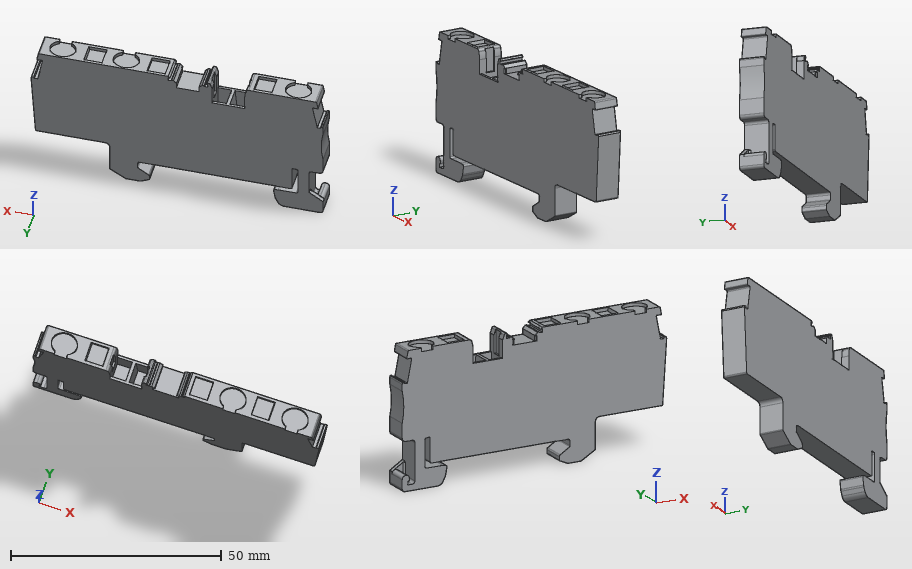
import cadquery as cq
import math


length = 71.8
thickness = 6.2
height = 35.3
front_y = -thickness / 2
back_y = thickness / 2

block_bottom = 6.07
left_shelf_z = 12.6
right_shelf_z = 10.4
shoulder_z = 27.5
shoulder_drop = 0.4
ledge_z = 27.15
lip_bottom_z = 33.25

notch_left = 19.25
notch_right = 27.25
notch_floor = 29.25
notch_bevel_z = 33.8

channel_left = 30.5
channel_right = 36.05
channel_floor = 32.1
channel_lip_z = 33.5
catch_z = 34.05
ridge_z = 34.25
barb_z = 34.85

latch_wall = 3.43
latch_lip_width = 1.95
latch_lip_z = 4.1
slot_left = 6.2
slot_right = 7.6
latch_top = 5.0

dent_top = 25.35
dent_bottom = 17.3
dent_depth = 0.42

web_thickness = 1.15
web_base_z = 1.0
web_low_z = 3.7
web_high_z = 5.9
web_chamfer = 0.45

pocket_depth = 0.85
oval_centers = (6.8, 49.15, 64.75)
oval_half_length = 3.15
oval_half_width = 2.7
oval_opening = 3.05
window_length = 4.45
window_width = 4.7
window_y = 0.05
window_draft = 0.25
plain_window_x = 41.2
left_window_x = 14.95
right_window_x = 56.75

well_width = 4.9
well_depth = 6.0
well_rib_left = 23.05
well_rib_right = 23.9
well_draft = 0.55
groove_width = 2.4
groove_depth = 0.55

recess_length = 0.5
recess_depth = 0.4
recess_top = 33.4

outline = [
    (1.6, height, 0.3),
    (1.2, lip_bottom_z, 0.15),
    (2.6, lip_bottom_z, 0.2),
    (1.4, ledge_z, 0),
    (0.7, ledge_z, 0),
    (0.45, shoulder_z, 0),
    (0.1, shoulder_z, 0),
    (0, shoulder_z - shoulder_drop, 0),
    (0, left_shelf_z, 0.9),
    (latch_wall, left_shelf_z, 0.7),
    (latch_wall, 1.6, 0.7),
    (1.5, 1.6, 0),
    (1.5, 2.4, 0.1),
    (latch_lip_width, 2.6, 0.15),
    (latch_lip_width, latch_lip_z, 0.95),
    (0, latch_lip_z, 0.95),
    (0, 0, 0.8),
    (10.6, 0, 1.8),
    (11.75, 2.2, 1.5),
    (12.25, 4.8, 0.4),
    (11.0, latch_top, 0),
    (slot_left, latch_top, 0.4),
    (slot_left, left_shelf_z, 0.4),
    (slot_right, left_shelf_z, 0.2),
    (slot_right, block_bottom, 0.4),
    (45.55, block_bottom, 0.6),
    (45.55, 4.2, 0.2),
    (42.65, 2.35, 0.5),
    (42.65, 1.05, 0.2),
    (44.9, 0, 0.3),
    (48.5, 0, 0.4),
    (52.45, 2.3, 0.3),
    (52.45, right_shelf_z, 1.1),
    (70.7, right_shelf_z, 0.4),
    (length, shoulder_z - shoulder_drop, 0),
    (71.65, shoulder_z, 0),
    (71.15, shoulder_z, 0),
    (70.95, ledge_z, 0),
    (70.15, ledge_z, 0),
    (68.95, lip_bottom_z, 0.2),
    (70.4, lip_bottom_z, 0.15),
    (70.0, height, 0.3),
    (38.05, height, 0),
    (37.6, barb_z, 0),
    (38.05, barb_z, 0),
    (38.05, catch_z, 0),
    (37.35, catch_z, 0),
    (37.15, ridge_z, 0),
    (36.75, ridge_z, 0),
    (channel_right, channel_lip_z, 0),
    (channel_right, channel_floor, 0),
    (channel_left, channel_floor, 0),
    (channel_left, channel_lip_z, 0),
    (29.75, ridge_z, 0),
    (29.3, ridge_z, 0),
    (29.1, catch_z, 0),
    (28.35, catch_z, 0),
    (28.35, barb_z, 0),
    (28.75, barb_z, 0),
    (28.45, height, 0),
    (27.8, height, 0.4),
    (notch_right, notch_bevel_z, 0),
    (notch_right, notch_floor, 0),
    (notch_left, notch_floor, 0),
    (notch_left, notch_bevel_z, 6.0),
    (18.75, height, 0.7),
]


def rounded_outline(corners):
    """Closed XZ wire through the corners, each rounded by a tangent arc of its radius."""
    wire = None
    count = len(corners)
    for i, (x, z, radius) in enumerate(corners):
        corner = cq.Vector(x, z)
        to_last = (cq.Vector(*corners[i - 1][:2]) - corner).normalized()
        to_next = (cq.Vector(*corners[(i + 1) % count][:2]) - corner).normalized()
        half_angle = to_last.getAngle(to_next) / 2
        setback = radius / math.tan(half_angle)
        start = corner + to_last * setback
        if wire is None:
            wire = cq.Workplane("XZ").moveTo(start.x, start.y)
        else:
            wire = wire.lineTo(start.x, start.y)
        if radius > 0:
            bisector = (to_last + to_next).normalized()
            middle = corner + bisector * (radius / math.sin(half_angle) - radius)
            end = corner + to_next * setback
            wire = wire.threePointArc((middle.x, middle.y), (end.x, end.y))
    return wire.close()


def prism_xz(points, y_low, y_high):
    """Polygon in XZ filled between two Y positions."""
    plane = cq.Workplane("XZ", origin=(0, y_high, 0))
    return plane.polyline(points).close().extrude(y_high - y_low)


def block(x_low, x_high, y_low, y_high, z_low, z_high):
    """Axis-aligned box given by its limits."""
    size = (x_high - x_low, y_high - y_low, z_high - z_low)
    return cq.Workplane("XY").box(*size, centered=False).translate((x_low, y_low, z_low))


def finger_dent():
    """Large cylinder whose edge scoops the left end face."""
    half_chord = (dent_top - dent_bottom) / 2
    radius = (half_chord**2 + dent_depth**2) / (2 * dent_depth)
    center = (dent_depth - radius, (dent_top + dent_bottom) / 2)
    return cq.Workplane("XZ").center(*center).circle(radius).extrude(thickness, both=True)


def latch_web():
    """Wall behind the latch pocket, with a chamfered corner against the latch wall."""
    inner_y = back_y - web_thickness
    slope = (web_high_z - web_low_z) / latch_wall
    chamfer_x = latch_wall - web_chamfer
    side = [(0, web_base_z), (0, web_low_z), (latch_wall, web_high_z), (latch_wall, web_base_z)]
    wall = prism_xz(side, inner_y, back_y)
    corner = (
        cq.Workplane("XY", origin=(0, 0, web_base_z))
        .polyline([(chamfer_x, inner_y), (latch_wall, inner_y), (latch_wall, inner_y - web_chamfer)])
        .close()
        .extrude(web_low_z + slope * chamfer_x - web_base_z)
    )
    return wall.union(corner)


def oval_pocket(x):
    """Elliptical pocket in the top face, opened through the front face."""
    floor = cq.Workplane("XY", origin=(x, 0, height - pocket_depth))
    oval = floor.ellipse(oval_half_length, oval_half_width).extrude(pocket_depth)
    half_opening = oval_opening / 2
    opening = block(x - half_opening, x + half_opening, front_y, 0, height - pocket_depth, height)
    return oval.union(opening)


def window_pocket(x, left_draft=0, right_draft=0):
    """Rectangular pocket in the top face; its end walls may lean inward toward the floor."""
    left = x - window_length / 2
    right = x + window_length / 2
    floor_z = height - pocket_depth
    side = [(left, height), (right, height), (right - right_draft, floor_z), (left + left_draft, floor_z)]
    return prism_xz(side, window_y - window_width / 2, window_y + window_width / 2)


def notch_wells():
    """Two wells in the notch floor, narrowing downward on either side of the rib."""
    bottom = notch_floor - well_depth
    left_well = [
        (notch_left, notch_floor),
        (well_rib_left, notch_floor),
        (well_rib_left - well_draft, bottom),
        (notch_left, bottom),
    ]
    right_well = [
        (well_rib_right, notch_floor),
        (notch_right, notch_floor),
        (notch_right, bottom),
        (well_rib_right + well_draft, bottom),
    ]
    half_width = well_width / 2
    return prism_xz(left_well, -half_width, half_width).union(prism_xz(right_well, -half_width, half_width))


def guide_groove(x_low, x_high):
    """Vertical groove in a notch wall, from the top edge to the notch floor."""
    return block(x_low, x_high, -groove_width / 2, groove_width / 2, notch_floor, height)


def channel_recess(x_low):
    """Shallow step in the front face at one end of the marker channel."""
    x_high = x_low + recess_length
    return block(x_low, x_high, front_y, front_y + recess_depth, channel_floor, recess_top)


body = rounded_outline(outline).extrude(thickness / 2, both=True)
body = body.cut(finger_dent())
body = body.union(latch_web())

for oval_x in oval_centers:
    body = body.cut(oval_pocket(oval_x))

body = body.cut(window_pocket(left_window_x, left_draft=window_draft))
body = body.cut(window_pocket(plain_window_x))
body = body.cut(window_pocket(right_window_x, right_draft=window_draft))

body = body.cut(notch_wells())
body = body.cut(guide_groove(notch_left - groove_depth, notch_left))
body = body.cut(guide_groove(notch_right, notch_right + groove_depth))

body = body.cut(channel_recess(channel_left - recess_length))
body = body.cut(channel_recess(channel_right))

result = body